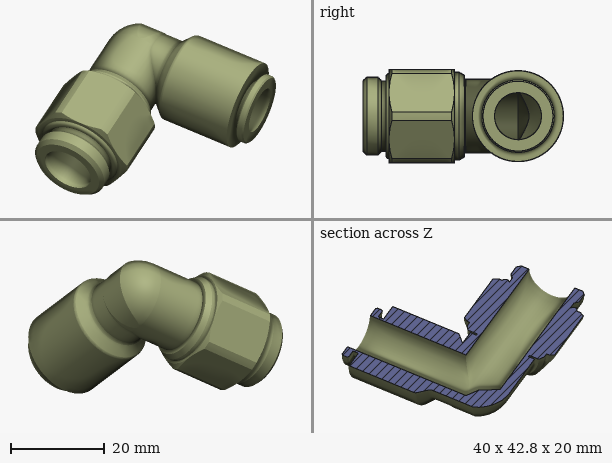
import cadquery as cq
import math

body_radius = 7.87
branch_radius = 7.27
body_end = -11.15

groove_radius = 6.4
collar_start = -11.42
collar_radius = 9.4
collar_chamfer = 0.73
collar_chamfer_length = 1.2
hex_start = -13.55
hex_end = -27.5
hex_flats = 20.0
hex_corner_radius = 11.05
hex_chamfer_angle = 30.0
seal_ring_radius = 8.3
seal_tube_radius = 0.8
seal_end = -28.2
neck_radius = 7.55
lip_start = -29.1
lip_radius = 8.35
lip_chamfer = 0.8
lip_end = -33.08

branch_end = 7.35
branch_root_round = 1.03
sleeve_radius = 9.7
sleeve_end = 25.97
sleeve_edge_round = 0.75
stem_radius = 5.65
button_start = 27.17
button_end = 28.9
button_radius = 7.75
button_chamfer = 0.3

main_bore_radius = 5.5
branch_bore_radius = 5.0
drill_point_angle = 118.0


def disc_y(radius, start, end):
    """Cylinder on the Y axis reaching from start down to end."""
    return cq.Workplane("XZ", origin=(0, start, 0)).circle(radius).extrude(start - end)


def disc_x(radius, start, end):
    """Cylinder on the X axis reaching from start up to end."""
    return cq.Workplane("YZ", origin=(start, 0, 0)).circle(radius).extrude(end - start)


def revolve_y(points):
    """Solid of revolution about Y from (radius, y) points."""
    return cq.Workplane("XY").polyline(points).close().revolve(360, (0, 0, 0), (0, 1, 0))


def revolve_x(points):
    """Solid of revolution about X from (x, radius) points."""
    return cq.Workplane("XY").polyline(points).close().revolve(360, (0, 0, 0), (1, 0, 0))


def make_elbow():
    trim_radius = (body_radius**2 + branch_radius**2) / (2 * branch_radius)
    trim_center = branch_radius - trim_radius
    trim = (
        cq.Workplane("YZ", origin=(-body_radius, 0, 0))
        .center(trim_center, 0)
        .circle(trim_radius)
        .extrude(2 * body_radius)
    )
    dome = (
        cq.Workplane("XY")
        .moveTo(0, 0)
        .lineTo(body_radius, 0)
        .radiusArc((0, body_radius), -body_radius)
        .close()
        .revolve(360, (0, 0, 0), (0, 1, 0))
    )
    cap = dome.intersect(trim)
    main = disc_y(body_radius, 0, body_end)
    return main.union(cap)


def make_hex():
    corner_diameter = hex_flats / math.cos(math.pi / 6)
    prism = (
        cq.Workplane("XZ", origin=(0, hex_start, 0))
        .polygon(6, corner_diameter)
        .extrude(hex_start - hex_end)
    )
    end_radius = hex_flats / 2
    chamfer_length = (hex_corner_radius - end_radius) * math.tan(math.radians(hex_chamfer_angle))
    envelope = revolve_y([
        (0, hex_start),
        (end_radius, hex_start),
        (hex_corner_radius, hex_start - chamfer_length),
        (hex_corner_radius, hex_end + chamfer_length),
        (end_radius, hex_end),
        (0, hex_end),
    ])
    return prism.intersect(envelope)


def make_main_fittings():
    groove = disc_y(groove_radius, body_end, collar_start)
    collar = revolve_y([
        (0, collar_start),
        (collar_radius - collar_chamfer, collar_start),
        (collar_radius, collar_start - collar_chamfer_length),
        (collar_radius, hex_start),
        (0, hex_start),
    ])
    seal = (
        cq.Workplane("XY")
        .center(seal_ring_radius, seal_end + seal_tube_radius)
        .circle(seal_tube_radius)
        .revolve(360, (-seal_ring_radius, 0, 0), (-seal_ring_radius, 1, 0))
    )
    neck = disc_y(neck_radius, hex_end, lip_start)
    lip = disc_y(lip_radius, lip_start, lip_end).faces("<Y or >Y").edges().chamfer(lip_chamfer)
    return groove.union(collar).union(make_hex()).union(seal).union(neck).union(lip)


def make_branch():
    shoulder = branch_end + sleeve_radius - branch_radius
    sleeve = revolve_x([
        (0, 0),
        (0, branch_radius),
        (branch_end, branch_radius),
        (shoulder, sleeve_radius),
        (sleeve_end, sleeve_radius),
        (sleeve_end, 0),
    ])
    for edge_x, radius in ((branch_end, branch_root_round), (shoulder, sleeve_edge_round)):
        nearest_edge = cq.NearestToPointSelector((edge_x, 0, 0))
        sleeve = sleeve.edges("%CIRCLE").edges(nearest_edge).fillet(radius)
    stem = disc_x(stem_radius, sleeve_end, button_start)
    button = disc_x(button_radius, button_start, button_end)
    button = button.faces("<X or >X").edges().chamfer(button_chamfer)
    return sleeve.union(stem).union(button)


def make_bores():
    point_slope = math.tan(math.radians(drill_point_angle / 2))
    main_bore = revolve_y([
        (0, lip_end),
        (main_bore_radius, lip_end),
        (main_bore_radius, 0),
        (0, main_bore_radius / point_slope),
    ])
    branch_bore = revolve_x([
        (button_end, 0),
        (button_end, branch_bore_radius),
        (0, branch_bore_radius),
        (-branch_bore_radius / point_slope, 0),
    ])
    return main_bore.union(branch_bore)


result = make_elbow().union(make_main_fittings()).union(make_branch()).cut(make_bores())